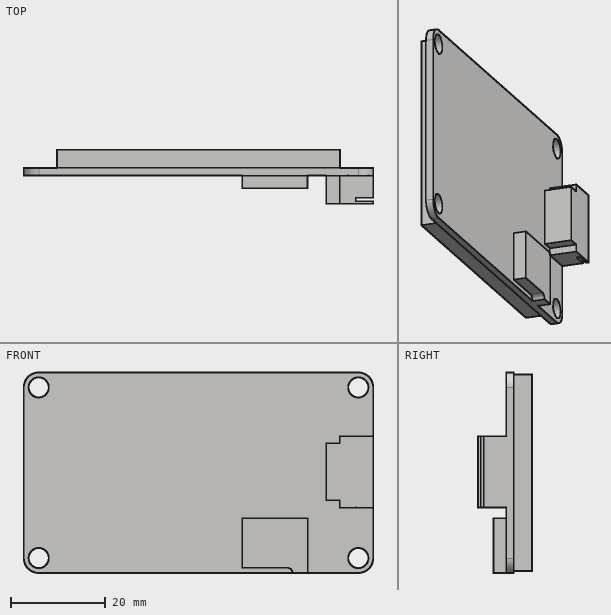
import cadquery as cq

board_length = 74.4
board_height = 42.7
board_thickness = 1.6
corner_radius = 3.2
hole_diameter = 4.25
hole_inset = 3.2

display_left = 7.1
display_length = 60.3
display_margin = 0.45
display_thickness = 3.9

plug_length = 10.05
plug_step_length = 2.9
plug_bottom = 13.9
plug_height = 15.25
plug_shoulder = 1.55
plug_depth = 6.0
slot_length = 3.7
slot_width = 0.7
slot_wall = 0.6

socket_left = 46.5
socket_length = 13.9
socket_height = 11.7
socket_depth = 2.75
card_notch_radius = 1.1
card_notch_right = 57.2

board_front = -board_thickness


def box(left, back, bottom, length, depth, height):
    """Block that extends from its back face toward -Y."""
    return cq.Workplane("XY").box(length, depth, height, centered=False).translate((left, back - depth, bottom))


def make_board():
    board = box(0, 0, 0, board_length, board_thickness, board_height)
    board = board.edges("|Y").fillet(corner_radius)
    return (
        board.faces("<Y")
        .workplane(centerOption="CenterOfBoundBox")
        .rect(board_length - 2 * hole_inset, board_height - 2 * hole_inset, forConstruction=True)
        .vertices()
        .hole(hole_diameter)
    )


def make_display():
    height = board_height - 2 * display_margin
    return box(display_left, display_thickness, display_margin, display_length, display_thickness, height)


def make_plug():
    left = board_length - plug_length
    body_left = left + plug_step_length
    body_length = plug_length - plug_step_length
    body = box(body_left, board_front, plug_bottom, body_length, plug_depth, plug_height)
    step_height = plug_height - 2 * plug_shoulder
    step = box(left, board_front, plug_bottom + plug_shoulder, plug_length, plug_depth, step_height)
    slot_back = board_front - plug_depth + slot_wall + slot_width
    slot = box(board_length - slot_length, slot_back, plug_bottom, slot_length, slot_width, plug_height)
    return body.union(step).cut(slot)


def make_socket():
    arc_start = card_notch_right - card_notch_radius
    arc_offset = card_notch_radius * 0.5**0.5
    return (
        cq.Workplane("XZ", origin=(0, board_front, 0))
        .moveTo(socket_left, card_notch_radius)
        .lineTo(arc_start, card_notch_radius)
        .threePointArc((arc_start + arc_offset, arc_offset), (card_notch_right, 0))
        .lineTo(socket_left + socket_length, 0)
        .lineTo(socket_left + socket_length, socket_height)
        .lineTo(socket_left, socket_height)
        .close()
        .extrude(socket_depth)
    )


result = make_board().union(make_display()).union(make_plug()).union(make_socket())